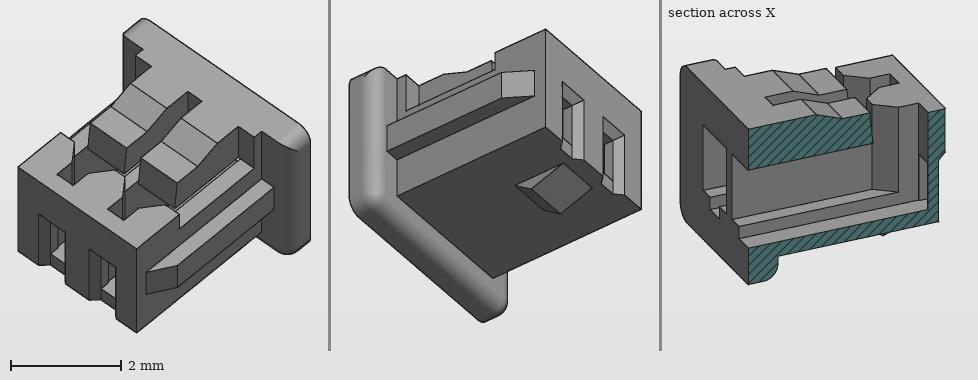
import cadquery as cq

WIDTH = 4.25
LENGTH = 3.95
HEIGHT = 3.2

FLANGE_THICKNESS = 0.6
FLANGE_RADIUS = 0.3
FLANGE_FRONT = LENGTH - FLANGE_THICKNESS

BODY_WIDTH = 2.935
BODY_BOTTOM = 0.45
BODY_TOP = HEIGHT - 0.45
LEDGE_Z = HEIGHT - 0.85
LEDGE_FRONT = 1.145
LEDGE_BACK = LENGTH - 0.8

RIB_SPAN = 3.55
RIB_BOTTOM = 1.3
RIB_HEIGHT = 0.6
RIB_NOSE_Y = 0.245
RIB_FULL_Y = 0.765

PITCH = 1.25
CAVITY_CENTERS = (-PITCH / 2, PITCH / 2)
CAVITY_WIDTH = 1.0
CAVITY_FLOOR = 0.755
SHELF_Z = CAVITY_FLOOR + 0.25
THROAT_WIDTH = 0.4
THROAT_FRONT = 0.353
THROAT_BACK = 0.752

WINDOW_WIDTH = 0.353
WINDOW_TOP = 1.7
WINDOW_FLARE = 0.155
FLARE_ANGLE = 45

ARM_WIDTH = 0.9
ARM_TIP_Z = HEIGHT - 0.2
ARM_RAMP_BACK = 2.59
ARM_RAMP_FRONT = 2.06
ARM_TIP_Y = 1.515
ARM_TIP_LEAN = 0.07

WEDGE_WIDTH = 0.892
WEDGE_DEPTH = 0.26
WEDGE_FRONT = 0.353
WEDGE_APEX = 1.075
WEDGE_BACK = 1.445


def block(x_center, width, y_range, z_range):
    """Box centred on x_center that spans the given Y and Z ranges."""
    y0, y1 = y_range
    z0, z1 = z_range
    box = cq.Workplane("XY").box(width, y1 - y0, z1 - z0, centered=(True, False, False))
    return box.translate((x_center, y0, z0))


def side_profile(x_center, width, points):
    """Prism along X with a (Y, Z) outline, centred on x_center."""
    prism = cq.Workplane("YZ").polyline(points).close().extrude(width / 2, both=True)
    return prism.translate((x_center, 0, 0))


def flange():
    """Plate with four rounded corners and a rounded front rim that stays sharp along the top."""
    tall = block(0, WIDTH, (FLANGE_FRONT, LENGTH), (0, HEIGHT + FLANGE_THICKNESS))
    tall = tall.edges("|Y and <Z").fillet(FLANGE_RADIUS)
    tall = tall.faces("<Y").edges("not >Z").fillet(FLANGE_RADIUS)
    outline = block(0, WIDTH, (FLANGE_FRONT, LENGTH), (0, HEIGHT)).edges("|Y").fillet(FLANGE_RADIUS)
    return tall.intersect(outline)


def body():
    """Block with a step across its top and a full-height neck at the flange."""
    outline = [
        (0, BODY_BOTTOM),
        (FLANGE_FRONT, BODY_BOTTOM),
        (FLANGE_FRONT, HEIGHT),
        (LEDGE_BACK, HEIGHT),
        (LEDGE_BACK, LEDGE_Z),
        (LEDGE_FRONT, LEDGE_Z),
        (LEDGE_FRONT, BODY_TOP),
        (0, BODY_TOP),
    ]
    return side_profile(0, BODY_WIDTH, outline)


def ribs():
    """Plan outline through the body that leaves one tapered guide rib on each side."""
    half_body = BODY_WIDTH / 2
    half_span = RIB_SPAN / 2
    outline = [
        (-half_body, RIB_NOSE_Y),
        (half_body, RIB_NOSE_Y),
        (half_span, RIB_FULL_Y),
        (half_span, FLANGE_FRONT),
        (-half_span, FLANGE_FRONT),
        (-half_span, RIB_FULL_Y),
    ]
    plan = cq.Workplane("XY").workplane(offset=RIB_BOTTOM)
    return plan.polyline(outline).close().extrude(RIB_HEIGHT)


def wedge():
    outline = [
        (WEDGE_FRONT, BODY_BOTTOM),
        (WEDGE_APEX, BODY_BOTTOM - WEDGE_DEPTH),
        (WEDGE_BACK, BODY_BOTTOM),
    ]
    return side_profile(0, WEDGE_WIDTH, outline)


def cavity(x_center):
    """Contact chamber over a narrower floor channel, open to the rear and, ahead of the neck, upward."""
    half_width = CAVITY_WIDTH / 2
    half_throat = THROAT_WIDTH / 2
    outline = [
        (-half_throat, THROAT_BACK),
        (half_throat, THROAT_BACK),
        (half_width, LEDGE_FRONT),
        (half_width, LEDGE_BACK),
        (-half_width, LEDGE_BACK),
        (-half_width, LEDGE_FRONT),
    ]
    plan = cq.Workplane("XY").workplane(offset=SHELF_Z)
    chamber = plan.polyline(outline).close().extrude(HEIGHT - SHELF_Z).translate((x_center, 0, 0))
    throat = block(x_center, THROAT_WIDTH, (THROAT_FRONT, LEDGE_FRONT), (CAVITY_FLOOR, HEIGHT))
    channel = block(x_center, THROAT_WIDTH, (LEDGE_FRONT, LENGTH), (CAVITY_FLOOR, LEDGE_Z))
    rear = block(x_center, CAVITY_WIDTH, (LEDGE_BACK, LENGTH), (SHELF_Z, LEDGE_Z))
    return chamber.union(throat).union(channel).union(rear)


def window(x_center):
    """Front opening: a straight channel into the throat behind a flare that is open at the bottom."""
    channel = block(x_center, WINDOW_WIDTH, (0, THROAT_FRONT), (CAVITY_FLOOR, WINDOW_TOP))

    flare_bottom = -WINDOW_TOP
    flare_top = WINDOW_TOP + WINDOW_FLARE
    flare = (
        cq.Workplane("XZ")
        .center(x_center, (flare_bottom + flare_top) / 2)
        .rect(WINDOW_WIDTH + 2 * WINDOW_FLARE, flare_top - flare_bottom)
        .extrude(-WINDOW_FLARE, taper=FLARE_ANGLE)
    )
    return channel.union(flare)


def latch_arm(x_center):
    """Cantilever arm reaching forward from the neck over one cavity."""
    outline = [
        (LEDGE_BACK, LEDGE_Z),
        (LEDGE_BACK, HEIGHT),
        (ARM_RAMP_BACK, HEIGHT),
        (ARM_RAMP_FRONT, ARM_TIP_Z),
        (ARM_TIP_Y, ARM_TIP_Z),
        (ARM_TIP_Y - ARM_TIP_LEAN, LEDGE_Z),
    ]
    return side_profile(x_center, ARM_WIDTH, outline)


housing = flange().union(body()).union(ribs())
for center in CAVITY_CENTERS:
    housing = housing.cut(cavity(center)).cut(window(center))
housing = housing.union(wedge())
for center in CAVITY_CENTERS:
    housing = housing.union(latch_arm(center))

result = housing